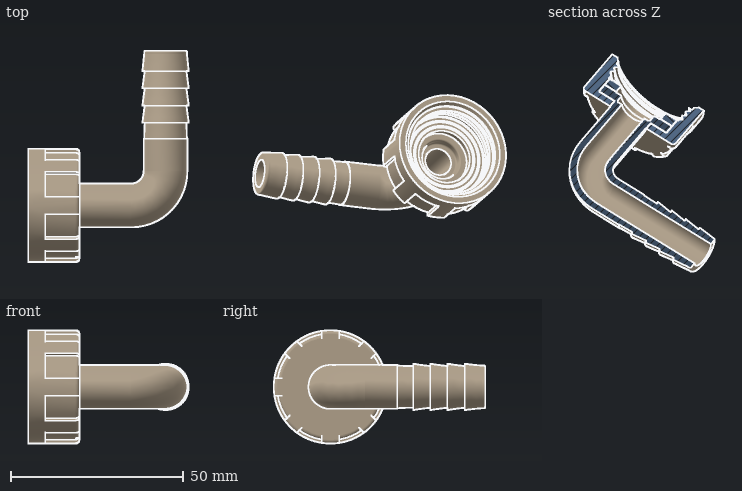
import cadquery as cq
import math


nut_length = 14.9
nut_radius = 16.5
rim_length = 5.0
grip_floor_radius = 15.5
rib_count = 8
rib_width = 5.0
back_fillet = 1.1
mouth_radius = 14.55
lead_radius = 13.5
mouth_cone_length = 1.0
lead_depth = 1.85

thread_pitch = 1.814
thread_crest_radius = 12.35
thread_root_radius = 13.2
thread_groove_width = 1.4
thread_root_width = 0.3
thread_start = lead_depth - thread_groove_width / 2
thread_turns = 2.85
cutter_overlap = 0.15

seat_radius = 12.0
gasket_front = 7.25
gasket_thickness = 2.65
gasket_bore_radius = 7.905
gasket_ridge_width = 0.51
gasket_ridge_inner_radii = (8.91, 10.47)

flange_front = gasket_front + gasket_thickness
flange_back = 12.5
tube_radius = 6.4
bore_radius = 4.0
counterbore_radius = 5.75
counterbore_fillet = 0.5
counterbore_depth = 2.4

bend_radius = 10.0
hose_axis_x = 39.89
bend_start_x = hose_axis_x - bend_radius
tail_end_y = 45.0
tail_root_y = 19.35
tail_root_radius = 6.25
barb_count = 4
barb_pitch = 5.0
first_barb_y = 24.0
barb_radius = 6.75
barb_base_radius = 6.1
barb_land = 0.2
tip_land_y = tail_end_y - 1.0
tip_radius = 6.25
tip_fillet = 0.5


def revolve_about_x(profile):
    """Turn a closed (x, radius) profile into a solid around the X axis."""
    return profile.close().revolve(360, (0, 0, 0), (1, 0, 0))


def nut_envelope(radius):
    """Solid cylinder along X with a rounded back edge."""
    return cq.Workplane("YZ").circle(radius).extrude(nut_length).faces(">X").edges().fillet(back_fillet)


def thread_groove():
    """Helical cutter of trapezoidal section that cuts the right-hand thread."""
    helix = cq.Wire.makeHelix(
        thread_pitch,
        thread_pitch * thread_turns,
        thread_crest_radius,
        center=cq.Vector(thread_start, 0, 0),
        dir=cq.Vector(1, 0, 0),
    )
    start = helix.startPoint()
    radial = cq.Vector(0, start.y, start.z)
    section_plane = cq.Plane(
        origin=(thread_start, 0, 0),
        xDir=radial,
        normal=radial.cross(cq.Vector(1, 0, 0)),
    )
    half_root = thread_root_width / 2
    flank_slope = (thread_groove_width / 2 - half_root) / (thread_root_radius - thread_crest_radius)
    inner_radius = thread_crest_radius - cutter_overlap
    half_mouth = half_root + flank_slope * (thread_root_radius - inner_radius)
    section = cq.Workplane(section_plane).polyline(
        [
            (inner_radius, -half_mouth),
            (thread_root_radius, -half_root),
            (thread_root_radius, half_root),
            (inner_radius, half_mouth),
        ]
    ).close()
    return section.sweep(cq.Workplane(obj=helix), isFrenet=True)


def make_nut():
    envelope = nut_envelope(nut_radius)
    rim = cq.Workplane("YZ").circle(nut_radius).extrude(rim_length)
    body = nut_envelope(grip_floor_radius).union(rim)
    for index in range(rib_count // 2):
        rib_pair = (
            cq.Workplane("YZ")
            .rect(2 * nut_radius, rib_width)
            .extrude(nut_length)
            .rotate((0, 0, 0), (1, 0, 0), index * 360 / rib_count)
        )
        body = body.union(rib_pair.intersect(envelope))

    cavity = revolve_about_x(
        cq.Workplane("XY")
        .moveTo(0, 0)
        .lineTo(0, mouth_radius)
        .lineTo(mouth_cone_length, lead_radius)
        .lineTo(lead_depth, lead_radius)
        .lineTo(lead_depth, thread_crest_radius)
        .lineTo(gasket_front, thread_crest_radius)
        .lineTo(gasket_front, seat_radius)
        .lineTo(flange_back, seat_radius)
        .lineTo(flange_back, tube_radius)
        .lineTo(nut_length, tube_radius)
        .lineTo(nut_length, 0)
    )
    return body.cut(cavity).cut(thread_groove())


def make_gasket():
    """Flat ring with concentric V-shaped sealing ridges on its front face."""
    profile = cq.Workplane("XY").moveTo(gasket_front, gasket_bore_radius)
    for inner_radius in gasket_ridge_inner_radii:
        crest = (gasket_front - gasket_ridge_width / 2, inner_radius + gasket_ridge_width / 2)
        profile = (
            profile.lineTo(gasket_front, inner_radius)
            .lineTo(*crest)
            .lineTo(gasket_front, inner_radius + gasket_ridge_width)
        )
    profile = (
        profile.lineTo(gasket_front, seat_radius)
        .lineTo(flange_front, seat_radius)
        .lineTo(flange_front, gasket_bore_radius)
    )
    return revolve_about_x(profile)


def swept_round(radius, start_x, end_y):
    """Round bar from start_x along X, around the bend, then along Y to end_y."""
    half_chord = bend_radius * math.sin(math.radians(45))
    middle = (bend_start_x + half_chord, bend_radius - half_chord)
    path = (
        cq.Workplane("XY")
        .moveTo(start_x, 0)
        .lineTo(bend_start_x, 0)
        .threePointArc(middle, (hose_axis_x, bend_radius))
        .lineTo(hose_axis_x, end_y)
    )
    return cq.Workplane("YZ", origin=(start_x, 0, 0)).circle(radius).sweep(path)


def hose_tail():
    """Barbed hose tail; each barb tapers towards the free end."""
    profile = (
        cq.Workplane("XY", origin=(hose_axis_x, 0, 0))
        .moveTo(0, tail_root_y)
        .lineTo(tail_root_radius, tail_root_y)
        .lineTo(barb_base_radius, first_barb_y)
    )
    for index in range(barb_count):
        barb_y = first_barb_y + index * barb_pitch
        is_last = index == barb_count - 1
        taper_end_y = tip_land_y if is_last else barb_y + barb_pitch
        taper_end_radius = tip_radius if is_last else barb_base_radius
        profile = (
            profile.lineTo(barb_radius, barb_y)
            .lineTo(barb_radius, barb_y + barb_land)
            .lineTo(taper_end_radius, taper_end_y)
        )
    profile = profile.lineTo(tip_radius, tail_end_y).lineTo(0, tail_end_y).close()
    return profile.revolve(360, (0, 0, 0), (0, 1, 0)).faces(">Y").edges().fillet(tip_fillet)


def make_elbow():
    flange_thickness = flange_back - flange_front
    flange = cq.Workplane("YZ", origin=(flange_front, 0, 0)).circle(seat_radius).extrude(flange_thickness)
    tube = swept_round(tube_radius, flange_front, tail_root_y)
    body = tube.union(flange).union(hose_tail())

    corner_x = flange_front + counterbore_depth
    lip_radius = counterbore_radius + counterbore_fillet
    floor_radius = counterbore_radius - counterbore_fillet
    counterbore = revolve_about_x(
        cq.Workplane("XY")
        .moveTo(flange_front, 0)
        .lineTo(flange_front, lip_radius)
        .radiusArc((flange_front + counterbore_fillet, counterbore_radius), -counterbore_fillet)
        .lineTo(corner_x - counterbore_fillet, counterbore_radius)
        .radiusArc((corner_x, floor_radius), counterbore_fillet)
        .lineTo(corner_x, 0)
    )
    return body.cut(swept_round(bore_radius, flange_front, tail_end_y)).cut(counterbore)


nut = make_nut()
gasket = make_gasket()
elbow = make_elbow()

result = cq.Compound.makeCompound([nut.val(), gasket.val(), elbow.val()])